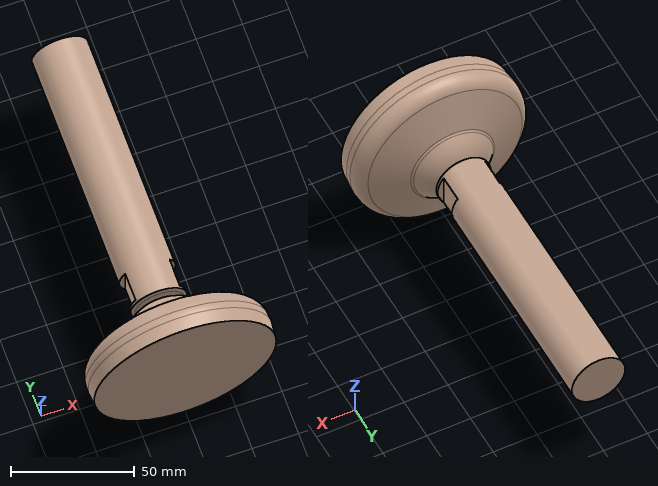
import cadquery as cq
import math

total_length = 151.5

pad_radius = 40.0
sole_radius = 39.2
taper_height = 5.9
rim_height = 9.1
rim_edge_radius = 39.8
shoulder_radius = 7.5
cone_angle = math.radians(23)

cap_edge_radius = 18.2
cap_edge_height = 23.3
cap_top_height = 31.8
cone_top_radius = 19.1
cone_top_height = 22.5

stem_diameter = 24.4
stem_radius = stem_diameter / 2
stem_bottom = 31.5
stem_chamfer_height = 0.5
stem_chamfer_width = 1.7

flat_spacing = 19.1
flat_bottom = 33.3
flat_length = 12.4


def make_foot():
    """Revolve the pad and its ball cap; local Y is the height above the sole."""
    shoulder_center_x = rim_edge_radius - shoulder_radius

    def shoulder_point(angle):
        return (
            shoulder_center_x + shoulder_radius * math.sin(angle),
            rim_height + shoulder_radius * math.cos(angle),
        )

    rim_middle = (pad_radius, (taper_height + rim_height) / 2)
    shoulder_middle = shoulder_point((cone_angle + math.pi / 2) / 2)
    shoulder_end = shoulder_point(cone_angle)

    cap_rise = cap_top_height - cap_edge_height
    ball_radius = (cap_edge_radius**2 + cap_rise**2) / (2 * cap_rise)
    ball_center = cap_top_height - ball_radius
    half_cap_angle = math.asin(cap_edge_radius / ball_radius) / 2
    cap_middle = (
        ball_radius * math.sin(half_cap_angle),
        ball_center + ball_radius * math.cos(half_cap_angle),
    )

    return (
        cq.Workplane("XY")
        .lineTo(sole_radius, 0)
        .lineTo(rim_edge_radius, taper_height)
        .threePointArc(rim_middle, (rim_edge_radius, rim_height))
        .threePointArc(shoulder_middle, shoulder_end)
        .lineTo(cone_top_radius, cone_top_height)
        .tangentArcPoint((cap_edge_radius, cap_edge_height), relative=False)
        .threePointArc(cap_middle, (0, cap_top_height))
        .close()
        .revolve(360, (0, 0), (0, 1))
    )


def make_stem():
    """Round stem with a shallow chamfer at its lower end and two wrench flats."""
    stem = (
        cq.Workplane("XY")
        .moveTo(0, stem_bottom)
        .lineTo(stem_radius - stem_chamfer_width, stem_bottom)
        .lineTo(stem_radius, stem_bottom + stem_chamfer_height)
        .lineTo(stem_radius, total_length)
        .lineTo(0, total_length)
        .close()
        .revolve(360, (0, 0), (0, 1))
    )
    for side in (-1, 1):
        cutter = cq.Workplane("XY").box(stem_radius, flat_length, 2 * stem_radius).translate(
            (side * (flat_spacing + stem_radius) / 2, flat_bottom + flat_length / 2, 0)
        )
        stem = stem.cut(cutter)
    return stem


result = make_foot().union(make_stem())